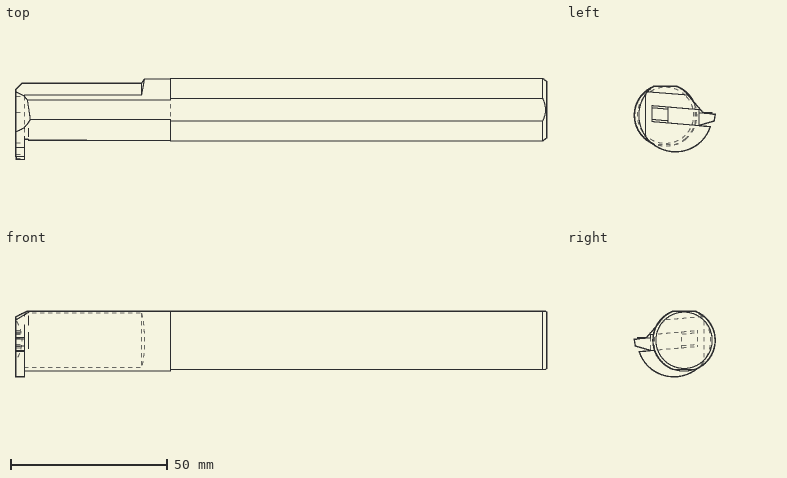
import cadquery as cq

length = 170.0
shank_radius = 10.0
neck_radius = 9.9
neck_length = 49.6
flat_height = 9.4
end_chamfer_length = 1.4
end_chamfer_depth = 1.0

clearance_y = -3.2
clearance_radius = 11.7
relief_length = 41.5
relief_runout = 1.2
runout_rise = 1.7

head_thickness = 2.9
side_chamfer_y = 6.5
bevel_z = 7.05
bevel_length = 4.2
bevel_tilt = 0.08
chip_face_length = 4.0
chip_side_y = -9.5
chip_face_top = (-6.5, 7.3)
chip_face_bottom = (-12.0, 0.8)

seat_slope = 0.085
seat_top = 2.7
seat_bottom = -2.4
seat_inner_y = 4.2
body_inner_y = -0.8
body_outer_y = -10.7
tail_gap = 0.7
tip_y = -16.0
tip_step = 1.0
tip_height = 2.2
tip_recess = 0.2
tip_clearance = 0.3

margin = 17.0


def cylinder(radius, start, end, y=0.0):
    """Cylinder along X."""
    return cq.Workplane("YZ", origin=(start, y, 0)).circle(radius).extrude(end - start)


def prism(points, depth):
    """Extrude a (Y, Z) outline from the cutting face along X."""
    return cq.Workplane("YZ").polyline(points).close().extrude(depth)


def sloped(y, height):
    """Point on a line with the insert slope that has the given height at Y = 0."""
    return (y, height + seat_slope * y)


def make_shank():
    profile = [
        (neck_length, 0),
        (neck_length, shank_radius),
        (length - end_chamfer_length, shank_radius),
        (length, shank_radius - end_chamfer_depth),
        (length, 0),
    ]
    shank = cq.Workplane("XY").polyline(profile).close().revolve(360, (0, 0, 0), (1, 0, 0))
    flats = cq.Workplane("XY").box(2 * length, 2 * margin, 2 * flat_height)
    return shank.intersect(flats)


def make_neck():
    """Neck relieved on the +Y side by the clearance circle, which runs out in a cone."""
    runout_start = relief_length - relief_runout
    profile = [
        (0, clearance_y),
        (0, clearance_y + clearance_radius),
        (runout_start, clearance_y + clearance_radius),
        (relief_length, clearance_y + clearance_radius + runout_rise),
        (relief_length, clearance_y + clearance_radius + margin),
        (neck_length, clearance_y + clearance_radius + margin),
        (neck_length, clearance_y),
    ]
    envelope = (
        cq.Workplane("XY")
        .polyline(profile)
        .close()
        .revolve(360, (0, clearance_y, 0), (1, clearance_y, 0))
    )
    return cylinder(neck_radius, 0, neck_length).intersect(envelope)


def top_bevel_cutter():
    """Wedge above a plane that rises from the cutting face to the top flat."""
    slope = (flat_height - bevel_z) / bevel_length

    def section(y):
        face_z = bevel_z + bevel_tilt * y
        return [
            cq.Vector(-margin, y, face_z - slope * margin),
            cq.Vector(margin, y, face_z + slope * margin),
            cq.Vector(-margin, y, face_z + slope * margin),
        ]

    wires = [cq.Wire.makePolygon(section(y), close=True) for y in (-margin, margin)]
    return cq.Workplane(cq.Solid.makeLoft(wires, True))


def side_chamfer_cutter():
    corner = [
        (0, side_chamfer_y),
        (margin, side_chamfer_y + margin),
        (0, side_chamfer_y + margin),
    ]
    return cq.Workplane("XY").workplane(offset=-margin).polyline(corner).close().extrude(2 * margin)


def chip_face_cutter():
    top_y, top_z = chip_face_top
    bottom_y, bottom_z = chip_face_bottom
    steepness = (top_z - bottom_z) / (top_y - bottom_y)
    points = [
        (top_y + margin, top_z + steepness * margin),
        chip_face_bottom,
        (bottom_y - margin, bottom_z),
        (bottom_y - margin, top_z + steepness * margin),
    ]
    return prism(points, chip_face_length)


def neck_side_cutter():
    """Shallow flat between the head plate and the end of the chip face."""
    return cq.Workplane("XY").box(
        chip_face_length - head_thickness, margin, 2 * margin, centered=(False, False, True)
    ).translate((head_thickness, chip_side_y - margin, 0))


def seat_cutter():
    """Pocket for the insert, open towards -Y below the chip face."""
    points = [
        sloped(seat_inner_y, seat_top),
        sloped(body_outer_y, seat_top),
        sloped(body_outer_y, seat_top - tip_step),
        sloped(tip_y - margin, seat_top - tip_step),
        sloped(tip_y - margin, seat_bottom),
        sloped(seat_inner_y, seat_bottom),
    ]
    return prism(points, head_thickness)


def make_holder():
    head = cylinder(clearance_radius, 0, head_thickness, clearance_y)
    top_flat = cq.Workplane("XY", origin=(0, 0, flat_height)).rect(2 * length, 4 * margin).extrude(margin)
    return (
        make_neck()
        .union(make_shank())
        .union(head)
        .cut(top_flat)
        .cut(top_bevel_cutter())
        .cut(side_chamfer_cutter())
        .cut(chip_face_cutter())
        .cut(neck_side_cutter())
        .cut(seat_cutter())
    )


def make_insert():
    tip_top = seat_top - tip_step
    tip_bottom = tip_top - tip_height
    points = [
        sloped(seat_inner_y, seat_top - tail_gap),
        sloped(body_inner_y, seat_top - tail_gap),
        sloped(body_inner_y, seat_top),
        sloped(body_outer_y, seat_top),
        sloped(body_outer_y, tip_top),
        sloped(tip_y, tip_top),
        sloped(tip_y + tip_clearance, tip_bottom),
        sloped(body_outer_y, seat_bottom),
        sloped(body_inner_y, seat_bottom),
        sloped(body_inner_y, seat_bottom + tail_gap),
        sloped(seat_inner_y, seat_bottom + tail_gap),
    ]
    insert = prism(points, head_thickness)
    setback = cq.Workplane("XY").box(2 * tip_recess, margin, margin)
    tail_setback = setback.translate((0, body_inner_y + margin / 2, 0))
    tip_setback = setback.translate((0, body_outer_y - margin / 2, 0))
    return insert.cut(tail_setback).cut(tip_setback)


holder = make_holder()
insert = make_insert()
result = cq.Compound.makeCompound([holder.solids().val(), insert.solids().val()])